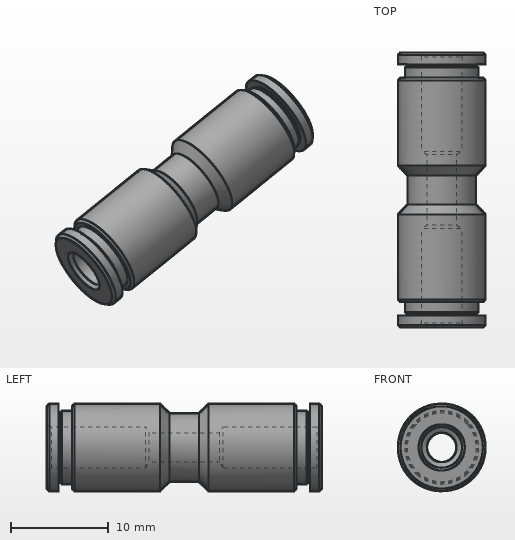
import cadquery as cq

length = 28.2
outer_diameter = 9.0
half_length = length / 2
outer_radius = outer_diameter / 2

waist_length = 3.0
waist_radius = 3.53
shoulder_length = 1.02

edge_chamfer = 0.28
flange_width = 1.25
neck_radius = 3.67
groove_radius = 3.55
groove_depth_from_end = 1.4
sleeve_radius = 3.78
sleeve_start = 1.58
body_start = 2.6

mouth_radius = 2.37
mouth_step = 0.28
mouth_chamfer_depth = 0.48
socket_radius = mouth_radius - mouth_step
socket_depth = 10.15
bore_radius = 1.5
taper_length = 0.35


def mirrored_revolve(half_profile):
    """Revolve (radius, y) points, given outward from the middle, with their mirror image."""
    mirror = [(radius, -y) for radius, y in reversed(half_profile)]
    profile = [(0, -half_length)] + mirror + half_profile + [(0, half_length)]
    return cq.Workplane("XY").polyline(profile).close().revolve(360, (0, 0, 0), (0, 1, 0))


def make_outside():
    waist_end = waist_length / 2
    body_end = half_length - body_start
    return mirrored_revolve([
        (waist_radius, waist_end),
        (outer_radius, waist_end + shoulder_length),
        (outer_radius, body_end - edge_chamfer),
        (outer_radius - edge_chamfer, body_end),
        (sleeve_radius, body_end),
        (sleeve_radius, half_length - sleeve_start),
        (groove_radius, half_length - groove_depth_from_end),
        (neck_radius, half_length - flange_width),
        (outer_radius, half_length - flange_width),
        (outer_radius, half_length - edge_chamfer),
        (outer_radius - edge_chamfer, half_length),
    ])


def make_passage():
    socket_bottom = half_length - socket_depth
    return mirrored_revolve([
        (bore_radius, socket_bottom - taper_length),
        (socket_radius, socket_bottom),
        (socket_radius, half_length - mouth_chamfer_depth),
        (mouth_radius, half_length),
    ])


result = make_outside().cut(make_passage())